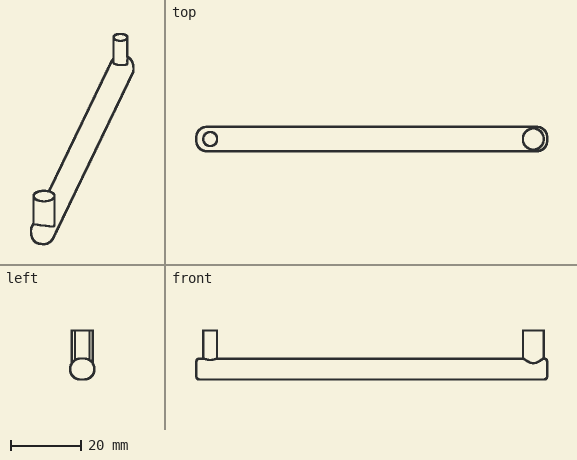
import cadquery as cq

bar_length = 100.0
bar_height = 6.0
flat_width = 1.0
side_radius = bar_height / 2
bar_width = flat_width + 2 * side_radius
end_fillet = 1.0

total_height = 14.0
pin_end_distance = 4.0
small_pin_diameter = 4.0
large_pin_diameter = 6.0


def make_bar():
    """Bar with rounded sides, ends rounded in plan and softened end edges."""
    side_bar = (
        cq.Workplane("YZ")
        .workplane(offset=-bar_length / 2)
        .center(0, bar_height / 2)
        .slot2D(bar_width, bar_height)
        .extrude(bar_length)
    )
    plan_block = (
        cq.Workplane("XY")
        .rect(bar_length, bar_width)
        .extrude(bar_height)
        .edges("|Z")
        .fillet(side_radius)
    )
    bar = side_bar.intersect(plan_block)
    return bar.edges("|Y").fillet(end_fillet)


def make_pin(diameter, axis_x):
    """Upright pin rising from the middle of the bar to the full height."""
    return (
        cq.Workplane("XY")
        .workplane(offset=bar_height / 2)
        .center(axis_x, 0)
        .circle(diameter / 2)
        .extrude(total_height - bar_height / 2)
    )


pin_x = bar_length / 2 - pin_end_distance
small_pin = make_pin(small_pin_diameter, -pin_x)
large_pin = make_pin(large_pin_diameter, pin_x)

result = make_bar().union(small_pin).union(large_pin)